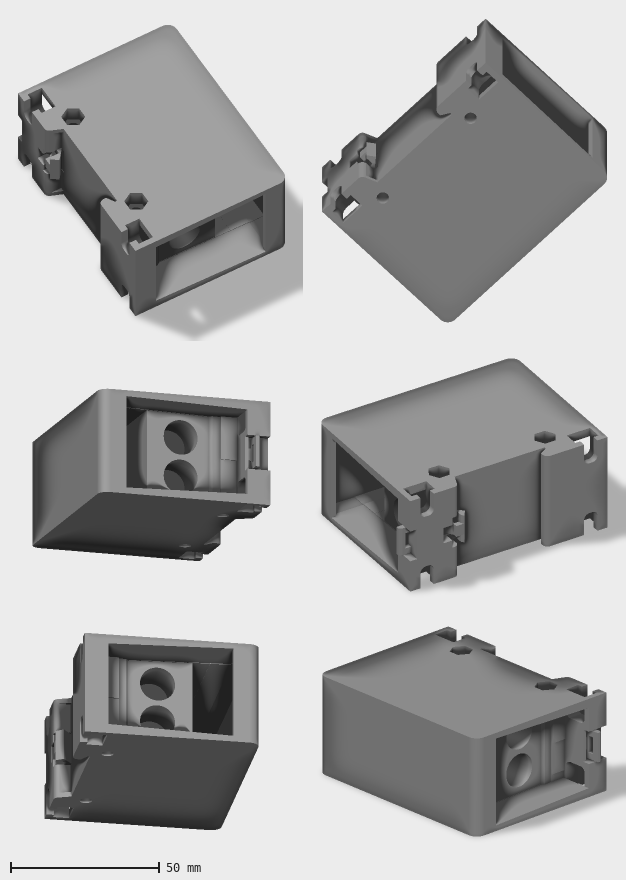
import cadquery as cq
import math

OVERALL_LENGTH = 80.0
LENGTH = 78.0
DEPTH = 60.1
HEIGHT = 36.0
CORNER_RADIUS = 3.5
MID_X = LENGTH / 2
TOP_Z = HEIGHT / 2

RAIL_DEPTH = 5.5
HOOK_RADIUS = 2.0
LEFT_LIP_X = 19.4
LEFT_ROOT_X = 20.9
RIGHT_LIP_X = 53.4
RIGHT_LIP_Y = 3.0
RIGHT_ROOT_X = 56.4
RIGHT_ROOT_Y = 4.7
LEFT_FOOT_X = 18.7
RIB_THICKNESS = 1.8

BAY_DEPTH = 13.8
BAY_FLOOR_Y = 8.1
BAY_HALF_HEIGHT_FLOOR = 14.7
BAY_HALF_HEIGHT_TOP = 15.9
BAY_TOP_Y = 51.0
CHAMBER_FLOOR_Y = 39.4
COVER_SEAM_Y = 52.6
COVER_TOP_Y = 58.5
COVER_HALF_HEIGHT = 16.2
LINER_X = 13.6
LINER = 0.2
LINER_STEP_Y = 45.3
LINER_STEP = 0.1
LIP_THICKNESS = 1.8

LEDGE_X = 12.9
LEDGE_Y = 16.4
LEDGE_TOP_Y = 17.3
STEP_Y = 13.8
STEP_RISE = 0.5
STEP_EDGES_Z = (-BAY_HALF_HEIGHT_FLOOR, -11.8, -0.2, BAY_HALF_HEIGHT_FLOOR)

BORE_DIAMETER = 12.0
BORE_Y = 27.4
BORE_Z = 6.9
BORE_DEPTH = 14.4

NUT_SPACING = 41.8
NUT_Y = 11.0
NUT_ACROSS_FLATS = 7.0
NUT_DEPTH = 6.0
BOLT_DIAMETER = 4.2

SCREW_X = 6.6
SHANK_WIDTH = 5.3
SHANK_LENGTH = 8.1
SHANK_RADIUS = 2.1
HEAD_START_Y = 2.6
HEAD_MARGIN = 1.9
HEAD_RADIUS = 2.0

LATCH_HALF_WIDTH = 5.4
CHANNEL_HALF_WIDTH = 5.9
LATCH_LOW_Y = 3.9
LATCH_HIGH_Y = 5.8
TAB_LENGTH = OVERALL_LENGTH - LENGTH
TAB_TIP_Y = 4.5
TAB_TAPER_X = -0.7
NOTCH_DEPTH = 2.7
TAB_WINDOW_X = 0.6
TAB_WINDOW_HALF_WIDTH = 3.0
GUIDE_DEPTH = 4.0
GUIDE_RIB_X = 3.4
GUIDE_LOW_Y = 5.4
GUIDE_TOP_Y = 6.9
SPRING_HALF_WIDTH = 2.2
HEAD_CHANNEL_X = 16.6
HEAD_CHANNEL_END_X = 21.2
LATCH_TIP_X = 23.2
LATCH_TIP_Y = 2.6
LATCH_TOE_X = 21.4
LATCH_BACK_X = 20.6
LATCH_HEEL_Y = 0.7
SPRING_WINDOW_X = 13.0
SPRING_WINDOW_END_X = 18.6
SPRING_CURL_END_X = 15.5
SPRING_VALLEY_X = 16.2
SPRING_VALLEY_Y = 3.6
SPRING_RISE_X = 16.8
SPRING_SHOULDER_X = 17.8
SPRING_FOOT_X = 18.2
SPRING_CURL_RADIUS = 2.4
SPRING_Y = 2.0
SPRING_FLOOR_Y = 4.5


def box(x0, x1, y0, y1, z0, z1):
    """Block between two opposite corners."""
    return cq.Workplane("XY").box(x1 - x0, y1 - y0, z1 - z0, centered=False).translate((x0, y0, z0))


def bar(x0, x1, y0, y1, half_width):
    """Block centred on Z = 0."""
    return box(x0, x1, y0, y1, -half_width, half_width)


def prism(points, half_width):
    """Polygon in XY extruded both ways from Z = 0."""
    return cq.Workplane("XY").polyline(points).close().extrude(half_width, both=True)


def bay_half_height(y):
    """Half the Z size of the inner space, which widens evenly away from the foot."""
    slope = (BAY_HALF_HEIGHT_TOP - BAY_HALF_HEIGHT_FLOOR) / (BAY_TOP_Y - BAY_FLOOR_Y)
    return BAY_HALF_HEIGHT_FLOOR + slope * (y - BAY_FLOOR_Y)


def tapered_bar(x0, x1, y0, y1, inset=0):
    """Part of the tapered inner space between two Y levels, narrowed by the inset at both Z ends."""
    low = bay_half_height(y0) - inset
    high = bay_half_height(y1) - inset
    profile = cq.Workplane("YZ", origin=(x0, 0, 0)).polyline([(y0, -low), (y1, -high), (y1, high), (y0, low)])
    return profile.close().extrude(x1 - x0)


def with_mirror(shape):
    """Shape plus its mirror image about the middle of the housing length."""
    return shape.union(shape.mirror("YZ", (MID_X, 0, 0)))


def housing():
    block = bar(0, LENGTH, 0, DEPTH, TOP_Z)
    block = block.edges("|Z and >Y").fillet(CORNER_RADIUS)
    slot = prism(
        [
            (LEFT_FOOT_X, 0),
            (LEFT_ROOT_X, RAIL_DEPTH),
            (RIGHT_ROOT_X, RAIL_DEPTH),
            (RIGHT_ROOT_X, RIGHT_ROOT_Y),
            (RIGHT_LIP_X, RIGHT_LIP_Y),
            (RIGHT_LIP_X, 0),
        ],
        TOP_Z,
    )
    block = block.cut(slot)
    for x in (LEFT_FOOT_X, RIGHT_LIP_X):
        block = block.edges(cq.NearestToPointSelector((x, 0, 0))).fillet(HOOK_RADIUS)
    relief = bar(LEFT_LIP_X, LEFT_ROOT_X, 0, RAIL_DEPTH, TOP_Z - RIB_THICKNESS)
    return block.cut(relief)


def terminal_bay():
    """Left bay: tapered opening, room under the cover, ledges and two bores."""
    bay = tapered_bar(0, LINER_X, BAY_FLOOR_Y, BAY_TOP_Y)
    bay = bay.union(tapered_bar(LIP_THICKNESS, LINER_X, BAY_TOP_Y, COVER_SEAM_Y))
    bay = bay.union(bar(LIP_THICKNESS, LINER_X, COVER_SEAM_Y, COVER_TOP_Y, COVER_HALF_HEIGHT))
    bay = bay.union(tapered_bar(LINER_X, BAY_DEPTH, BAY_FLOOR_Y, CHAMBER_FLOOR_Y, LINER))
    ledge = prism(
        [
            (BAY_DEPTH, BAY_FLOOR_Y),
            (LEDGE_X, BAY_FLOOR_Y),
            (LEDGE_X, LEDGE_Y),
            (BAY_DEPTH, LEDGE_TOP_Y),
        ],
        TOP_Z,
    )
    bay = bay.cut(ledge)
    for level, (z0, z1) in enumerate(zip(STEP_EDGES_Z, STEP_EDGES_Z[1:]), start=1):
        bay = bay.cut(box(LEDGE_X - level * STEP_RISE, LEDGE_X, BAY_FLOOR_Y, STEP_Y, z0, z1))
    bores = (
        cq.Workplane("YZ", origin=(BAY_DEPTH, 0, 0))
        .pushPoints([(BORE_Y, -BORE_Z), (BORE_Y, BORE_Z)])
        .circle(BORE_DIAMETER / 2)
        .extrude(BORE_DEPTH)
    )
    return bay.union(bores)


def wiring_chamber():
    """Lined passage that joins both bays behind their openings."""
    end_x = LENGTH - LINER_X
    lower = tapered_bar(LINER_X, end_x, CHAMBER_FLOOR_Y, LINER_STEP_Y, LINER)
    upper = tapered_bar(LINER_X, end_x, LINER_STEP_Y, COVER_SEAM_Y, LINER + LINER_STEP)
    cover = bar(LINER_X, end_x, COVER_SEAM_Y, COVER_TOP_Y, COVER_HALF_HEIGHT - LINER)
    return lower.union(upper).union(cover)


def nut_holes():
    centres = [(MID_X - NUT_SPACING / 2, NUT_Y), (MID_X + NUT_SPACING / 2, NUT_Y)]
    nuts = (
        cq.Workplane("XY", origin=(0, 0, TOP_Z - NUT_DEPTH))
        .pushPoints(centres)
        .polygon(6, NUT_ACROSS_FLATS / math.cos(math.pi / 6))
        .extrude(NUT_DEPTH)
    )
    bolts = cq.Workplane("XY").pushPoints(centres).circle(BOLT_DIAMETER / 2).extrude(TOP_Z, both=True)
    return nuts.union(bolts)


def screw_slots():
    """Keyed slots at the upper and lower ends of the left foot."""
    half = SHANK_WIDTH / 2
    shank = box(SCREW_X - half, SCREW_X + half, 0, HEAD_START_Y, TOP_Z - SHANK_LENGTH, TOP_Z)
    shank = shank.edges("|Y and <Z").fillet(SHANK_RADIUS)
    half += HEAD_MARGIN
    bottom = TOP_Z - SHANK_LENGTH - HEAD_MARGIN
    head = box(SCREW_X - half, SCREW_X + half, HEAD_START_Y, BAY_FLOOR_Y, bottom, TOP_Z)
    head = head.edges("|Y and <Z").fillet(HEAD_RADIUS)
    upper = shank.union(head)
    return upper.union(upper.mirror("XY"))


def latch_clearance():
    """Room around the two exposed ends of the latch and its spring."""
    notch = bar(0, NOTCH_DEPTH, 0, BAY_FLOOR_Y, CHANNEL_HALF_WIDTH)
    guide = bar(NOTCH_DEPTH, GUIDE_DEPTH, GUIDE_LOW_Y, GUIDE_TOP_Y, CHANNEL_HALF_WIDTH)
    rib = bar(GUIDE_RIB_X, GUIDE_DEPTH, GUIDE_LOW_Y, GUIDE_TOP_Y, SPRING_HALF_WIDTH)
    head_channel = bar(HEAD_CHANNEL_X, HEAD_CHANNEL_END_X, 0, LATCH_HIGH_Y, CHANNEL_HALF_WIDTH)
    spring_window = bar(SPRING_WINDOW_X, SPRING_WINDOW_END_X, 0, SPRING_FLOOR_Y, TAB_WINDOW_HALF_WIDTH)
    return notch.union(guide.cut(rib)).union(head_channel).union(spring_window)


def latch():
    tab = prism(
        [
            (-TAB_LENGTH, TAB_TIP_Y),
            (TAB_TAPER_X, LATCH_LOW_Y),
            (GUIDE_DEPTH, LATCH_LOW_Y),
            (GUIDE_DEPTH, LATCH_HIGH_Y),
            (-TAB_LENGTH, LATCH_HIGH_Y),
        ],
        LATCH_HALF_WIDTH,
    )
    tab = tab.cut(bar(TAB_WINDOW_X, NOTCH_DEPTH, LATCH_LOW_Y, LATCH_HIGH_Y, TAB_WINDOW_HALF_WIDTH))
    head = prism(
        [
            (HEAD_CHANNEL_X, LATCH_LOW_Y),
            (HEAD_CHANNEL_X, LATCH_HIGH_Y),
            (LEFT_LIP_X, LATCH_HIGH_Y),
            (LATCH_TIP_X, LATCH_TIP_Y),
            (LATCH_TOE_X, 0),
            (LATCH_BACK_X, LATCH_HEEL_Y),
            (LATCH_BACK_X, LATCH_LOW_Y),
        ],
        LATCH_HALF_WIDTH,
    )
    head = head.cut(
        bar(HEAD_CHANNEL_X, SPRING_WINDOW_END_X, LATCH_LOW_Y, SPRING_FLOOR_Y, TAB_WINDOW_HALF_WIDTH)
    )
    return tab.union(head).union(spring())


def spring():
    """U-shaped spring in its window: a rounded end, a valley and a foot joined to the latch head."""
    return (
        cq.Workplane("XY")
        .moveTo(SPRING_WINDOW_X, SPRING_FLOOR_Y)
        .lineTo(SPRING_WINDOW_X, SPRING_Y)
        .radiusArc((SPRING_CURL_END_X, LATCH_LOW_Y), SPRING_CURL_RADIUS)
        .lineTo(SPRING_VALLEY_X, LATCH_LOW_Y)
        .lineTo(SPRING_RISE_X, SPRING_VALLEY_Y)
        .lineTo(SPRING_SHOULDER_X, SPRING_Y)
        .lineTo(SPRING_FOOT_X, SPRING_Y)
        .lineTo(SPRING_FOOT_X, 0)
        .lineTo(LATCH_TOE_X, 0)
        .lineTo(LATCH_BACK_X, SPRING_Y)
        .lineTo(SPRING_WINDOW_END_X, SPRING_Y)
        .lineTo(SPRING_WINDOW_END_X, SPRING_FLOOR_Y)
        .close()
        .extrude(SPRING_HALF_WIDTH, both=True)
    )


result = (
    housing()
    .cut(with_mirror(terminal_bay()))
    .cut(wiring_chamber())
    .cut(nut_holes())
    .cut(with_mirror(screw_slots()))
    .cut(latch_clearance())
    .union(latch())
)